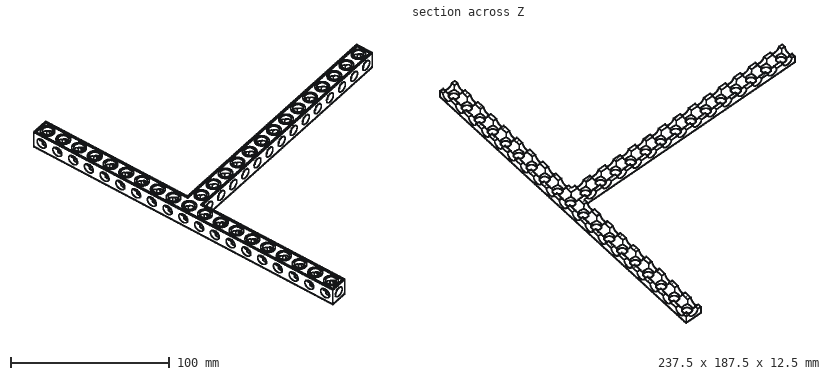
import cadquery as cq


bar_length = 237.5
bar_cells = 19
leg_cells = 15
hole_diameter = 7.0
collar_diameter = 9.3
rim_width = 1.07
recess_depth = 0.2

cell = bar_length / bar_cells
leg_length = leg_cells * cell
leg_center_y = (leg_length - cell) / 2
leg_end_y = leg_length - cell / 2
bar_start_x = -bar_length / 2
bottom_z = -cell / 2
recess_floor_z = cell / 2 - recess_depth

bar_positions = [(index - (bar_cells - 1) / 2) * cell for index in range(bar_cells)]
leg_positions = [index * cell for index in range(1, leg_cells)]
all_centers = [(x, 0) for x in bar_positions] + [(0, y) for y in leg_positions]


def t_prism(inset, base_z, height):
    """T-shaped prism whose outline lies the given inset inside the beam outline."""
    centered = (True, True, False)
    width = cell - 2 * inset
    base = cq.Workplane("XY").workplane(offset=base_z)
    bar = base.box(bar_length - 2 * inset, width, height, centered=centered)
    leg = base.center(0, leg_center_y).box(width, leg_length - 2 * inset, height, centered=centered)
    return bar.union(leg)


def vertical_cylinders(diameter, base_z, height):
    """One upright cylinder on every cell centre."""
    base = cq.Workplane("XY").workplane(offset=base_z)
    return base.pushPoints(all_centers).circle(diameter / 2).extrude(height)


def top_recess():
    """Recess inside the rim, leaving a collar around each hole."""
    pocket = t_prism(rim_width, recess_floor_z, recess_depth)
    return pocket.cut(vertical_cylinders(collar_diameter, recess_floor_z, recess_depth))


def bores_along_y():
    """Short cross bores through the bar and one long bore up the leg."""
    front = cq.Workplane("XZ", origin=(0, -cell / 2, 0))
    side_points = [(x, 0) for x in bar_positions]
    cross_bores = front.pushPoints(side_points).circle(hole_diameter / 2).extrude(-cell)
    long_bore = front.circle(hole_diameter / 2).extrude(-(leg_end_y + cell / 2))
    return cross_bores.union(long_bore)


def bores_along_x():
    """Short cross bores through the leg and one long bore through the bar."""
    leg_side = cq.Workplane("YZ", origin=(-cell / 2, 0, 0))
    side_points = [(y, 0) for y in leg_positions]
    cross_bores = leg_side.pushPoints(side_points).circle(hole_diameter / 2).extrude(cell)
    bar_end = cq.Workplane("YZ", origin=(bar_start_x, 0, 0))
    long_bore = bar_end.circle(hole_diameter / 2).extrude(bar_length)
    return cross_bores.union(long_bore)


beam = t_prism(0, bottom_z, cell)
beam = beam.cut(top_recess())
beam = beam.cut(vertical_cylinders(hole_diameter, bottom_z, cell))
beam = beam.cut(bores_along_y())
beam = beam.cut(bores_along_x())

result = beam